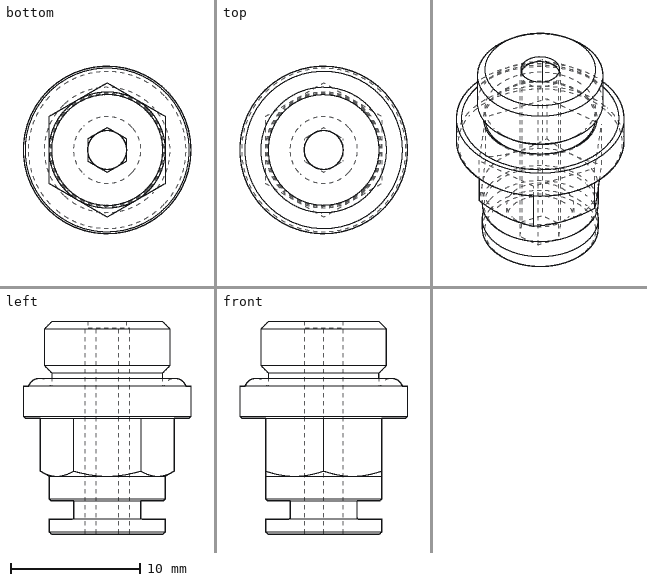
import cadquery as cq
import math

BUTTON_TOP = 1.2
COLLAR_BOTTOM = 2.6
HEX_BOTTOM = 4.5
FLANGE_BOTTOM = 9.0
FLANGE_TOP = 11.5
SEAL_TOP = 12.1
THREAD_BOTTOM = 12.5
TOTAL_HEIGHT = 16.5

BODY_DIAMETER = 9.0
STEM_DIAMETER = 5.2
HEX_ACROSS_FLATS = BODY_DIAMETER
HEX_SIDES = 6
FLANGE_DIAMETER = 13.0
SEAL_MEAN_DIAMETER = 10.5
SEAL_TUBE_DIAMETER = 1.8
THREAD_ROOT_DIAMETER = 8.57
THREAD_DIAMETER = 9.73
PORT_DIAMETER = 3.0
SOCKET_ACROSS_FLATS = PORT_DIAMETER

BUTTON_CHAMFER = 0.2
STEM_FILLET = 0.1
COLLAR_CHAMFER = 0.15
FLANGE_CHAMFER = 0.15
HEX_CHAMFER_ANGLE = 30.0
PORT_LIP = 0.5


def cylinder(diameter, bottom, top):
    return cq.Workplane("XY").workplane(offset=bottom).circle(diameter / 2).extrude(top - bottom)


def hexagon(across_flats, bottom, top):
    """Hexagonal prism with two flats facing +X and -X."""
    half_side_angle = 180 / HEX_SIDES
    across_corners = across_flats / math.cos(math.radians(half_side_angle))
    sketch_plane = cq.Workplane("XY").workplane(offset=bottom).transformed(rotate=(0, 0, half_side_angle))
    return sketch_plane.polygon(HEX_SIDES, across_corners).extrude(top - bottom)


def release_button():
    """Chamfered disc with a narrow stem, filleted where the stem meets the disc."""
    disc = cylinder(BODY_DIAMETER, 0, BUTTON_TOP).faces("<Z").chamfer(BUTTON_CHAMFER)
    stem = cylinder(STEM_DIAMETER, BUTTON_TOP, COLLAR_BOTTOM)
    smallest_circle = cq.selectors.RadiusNthSelector(0)
    return disc.union(stem).faces(">Z[-2]").edges(smallest_circle).fillet(STEM_FILLET)


def collar():
    return cylinder(BODY_DIAMETER, COLLAR_BOTTOM, HEX_BOTTOM).faces("<Z").chamfer(COLLAR_CHAMFER)


def wrench_hexagon():
    """Hexagon whose lower corners are turned off by a shallow cone."""
    prism = hexagon(HEX_ACROSS_FLATS, HEX_BOTTOM, FLANGE_BOTTOM)
    flat_radius = HEX_ACROSS_FLATS / 2
    clear_radius = FLANGE_DIAMETER / 2
    cone_height = (clear_radius - flat_radius) * math.tan(math.radians(HEX_CHAMFER_ANGLE))
    envelope = (
        cq.Workplane("XZ")
        .moveTo(0, HEX_BOTTOM)
        .lineTo(flat_radius, HEX_BOTTOM)
        .lineTo(clear_radius, HEX_BOTTOM + cone_height)
        .lineTo(clear_radius, FLANGE_BOTTOM)
        .lineTo(0, FLANGE_BOTTOM)
        .close()
        .revolve(360, (0, 0, 0), (0, 1, 0))
    )
    return prism.intersect(envelope)


def flange():
    return cylinder(FLANGE_DIAMETER, FLANGE_BOTTOM, FLANGE_TOP).faces("<Z").chamfer(FLANGE_CHAMFER)


def seal_ring():
    """O-ring partly sunk in the flange."""
    tube_radius = SEAL_TUBE_DIAMETER / 2
    ring = cq.Workplane(cq.Solid.makeTorus(SEAL_MEAN_DIAMETER / 2, tube_radius))
    return ring.translate((0, 0, SEAL_TOP - tube_radius))


def thread_end():
    """Plain threaded end with a chamfer down to the root diameter at both ends."""
    root = cylinder(THREAD_ROOT_DIAMETER, FLANGE_TOP, THREAD_BOTTOM)
    thread_depth = (THREAD_DIAMETER - THREAD_ROOT_DIAMETER) / 2
    thread = cylinder(THREAD_DIAMETER, THREAD_BOTTOM, TOTAL_HEIGHT).faces("<Z or >Z").chamfer(thread_depth)
    return root.union(thread)


def passage():
    """Round mouth at the top that continues as a hexagon socket through the part."""
    socket_top = TOTAL_HEIGHT - PORT_LIP
    mouth = cylinder(PORT_DIAMETER, socket_top, TOTAL_HEIGHT)
    return hexagon(SOCKET_ACROSS_FLATS, 0, socket_top).union(mouth)


result = release_button()
for section in (collar(), wrench_hexagon(), flange(), seal_ring(), thread_end()):
    result = result.union(section)
result = result.cut(passage())